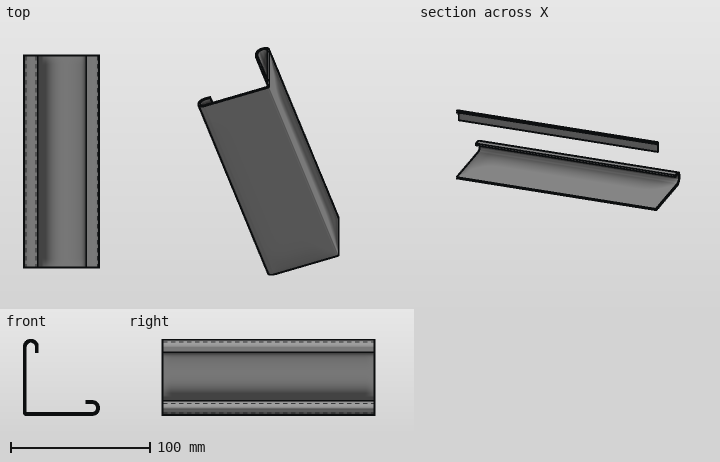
import cadquery as cq

length = 152.4
leg_size = 54.102
thickness = 1.524
hem_outer_radius = 5.08
lip_length = 4.08
corner_inner_radius = 0.254

corner_outer_radius = corner_inner_radius + thickness
hem_centre = leg_size - hem_outer_radius


def leg_outline(inset):
    """Points along one leg's surface, as (across the leg, along the leg) pairs.

    The inset is measured inward from the outer surface of the sheet. The order is
    corner tangent, hem start, hem crest, hem end, lip tip.
    """
    far_side = 2 * hem_outer_radius - inset
    return [
        (inset, corner_outer_radius),
        (inset, hem_centre),
        (hem_outer_radius, leg_size - inset),
        (far_side, hem_centre),
        (far_side, hem_centre - lip_length),
    ]


def mirrored(points):
    """Swap the two legs by reflecting across the X = Z diagonal."""
    return [(z, x) for x, z in points]


def trace_to_corner(path, points):
    """Continue the path along a leg, from its lip tip to its corner tangent."""
    corner, hem_start, hem_crest, hem_end, _ = points
    return path.lineTo(*hem_end).threePointArc(hem_crest, hem_start).lineTo(*corner)


def trace_to_lip(path, points):
    """Continue the path along a leg, from its corner tangent to its lip tip."""
    _, hem_start, hem_crest, hem_end, lip_tip = points
    return path.lineTo(*hem_start).threePointArc(hem_crest, hem_end).lineTo(*lip_tip)


def make_profile():
    """Closed XZ profile: outer surface lip to lip, then back along the inner one."""
    outer_upright = leg_outline(0)
    outer_base = mirrored(outer_upright)
    inner_upright = leg_outline(thickness)
    inner_base = mirrored(inner_upright)

    path = cq.Workplane("XZ").moveTo(*outer_upright[-1])
    path = trace_to_corner(path, outer_upright)
    path = path.radiusArc(outer_base[0], -corner_outer_radius)
    path = trace_to_lip(path, outer_base)
    path = path.lineTo(*inner_base[-1])
    path = trace_to_corner(path, inner_base)
    path = path.radiusArc(inner_upright[0], corner_inner_radius)
    path = trace_to_lip(path, inner_upright)
    return path.close()


result = make_profile().extrude(-length)